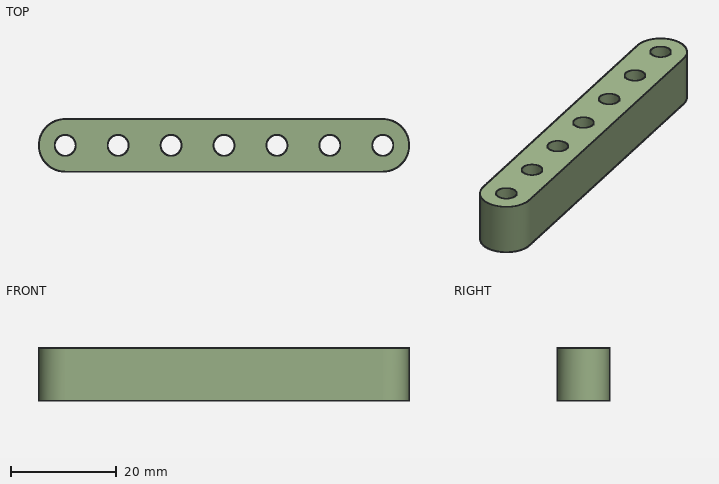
import cadquery as cq

length = 70.0
hole_count = 7
hole_diameter = 3.9

pitch = length / hole_count
width = pitch
height = width

bar = cq.Workplane("XY").slot2D(length, width).extrude(height)

result = (
    bar.faces(">Z")
    .workplane()
    .rarray(pitch, width, hole_count, 1)
    .hole(hole_diameter)
)